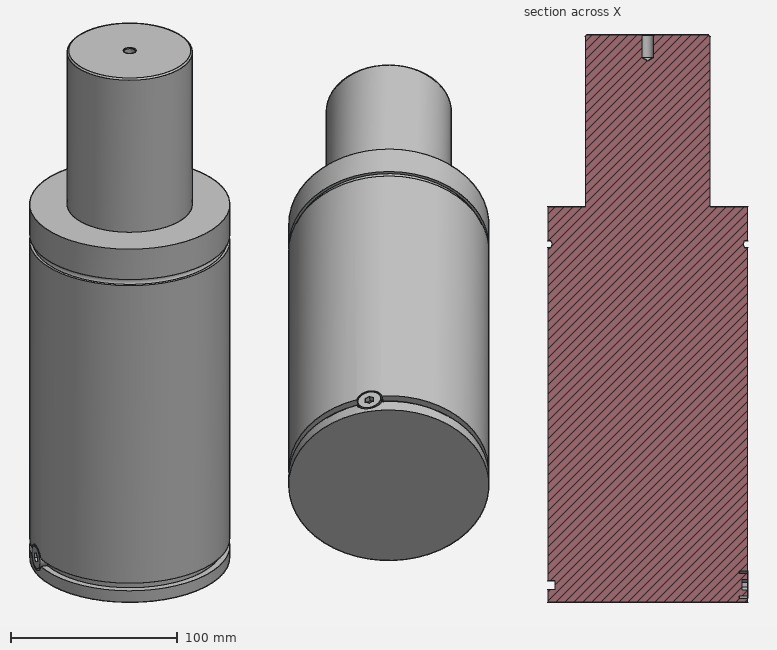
import cadquery as cq
import math

total_height = 340.0
body_diameter = 120.0
body_radius = body_diameter / 2
shoulder_height = 237.0

rod_diameter = 75.0
rod_chamfer = 1.0

base_groove_bottom = 7.8
base_groove_width = 5.0
base_groove_depth = 4.0

head_height = 20.5
head_groove_width = 4.0
head_groove_depth = 2.5
head_groove_rounding = 0.7

rod_hole_diameter = 6.8
rod_hole_mouth_diameter = 7.8
rod_hole_depth = 13.5
drill_tip_height = 2.0

port_height = 10.5
port_diameter = 16.0
port_depth = 5.0
plug_diameter = 14.0
socket_width = 5.0
socket_depth = 3.5


def make_cylinder():
    body = cq.Workplane("XY").circle(body_radius).extrude(shoulder_height)
    rod = cq.Workplane("XY").circle(rod_diameter / 2).extrude(total_height)
    rod = rod.faces(">Z").chamfer(rod_chamfer)
    return body.union(rod)


def make_base_groove():
    return (
        cq.Workplane("XY")
        .workplane(offset=base_groove_bottom)
        .circle(body_radius)
        .circle(body_radius - base_groove_depth)
        .extrude(base_groove_width)
    )


def make_head_groove():
    top = shoulder_height - head_height
    bottom = top - head_groove_width
    floor_radius = body_radius - head_groove_depth
    arc_end_radius = floor_radius + head_groove_rounding
    return (
        cq.Workplane("XZ")
        .moveTo(body_radius, bottom)
        .lineTo(arc_end_radius, bottom)
        .threePointArc((floor_radius, (top + bottom) / 2), (arc_end_radius, top))
        .lineTo(body_radius, top)
        .close()
        .revolve(360, (0, 0, 0), (0, 1, 0))
    )


def make_rod_hole():
    radius = rod_hole_diameter / 2
    mouth_radius = rod_hole_mouth_diameter / 2
    countersink_depth = mouth_radius - radius
    hole_bottom = total_height - rod_hole_depth
    return (
        cq.Workplane("XZ")
        .moveTo(0, total_height)
        .lineTo(mouth_radius, total_height)
        .lineTo(radius, total_height - countersink_depth)
        .lineTo(radius, hole_bottom)
        .lineTo(0, hole_bottom - drill_tip_height)
        .close()
        .revolve(360, (0, 0, 0), (0, 1, 0))
    )


def port_cylinder(diameter, outer_y, length):
    """Cylinder on the port axis, running from outer_y towards +Y."""
    return (
        cq.Workplane("XZ", origin=(0, outer_y, port_height))
        .circle(diameter / 2)
        .extrude(-length)
    )


def make_hex_socket(outer_y):
    """Hexagonal key socket with one corner pointing up."""
    corner_diameter = socket_width / math.cos(math.pi / 6)
    return (
        cq.Workplane("XZ", origin=(0, outer_y, port_height))
        .transformed(rotate=(0, 0, 90))
        .polygon(6, corner_diameter)
        .extrude(-socket_depth)
    )


def add_port(cylinder):
    front_y = -body_radius
    bore = port_cylinder(port_diameter, front_y, port_depth)
    plug = port_cylinder(plug_diameter, front_y, port_depth)
    return cylinder.cut(bore).union(plug).cut(make_hex_socket(front_y))


cylinder = make_cylinder().cut(make_base_groove()).cut(make_head_groove()).cut(make_rod_hole())
result = add_port(cylinder)